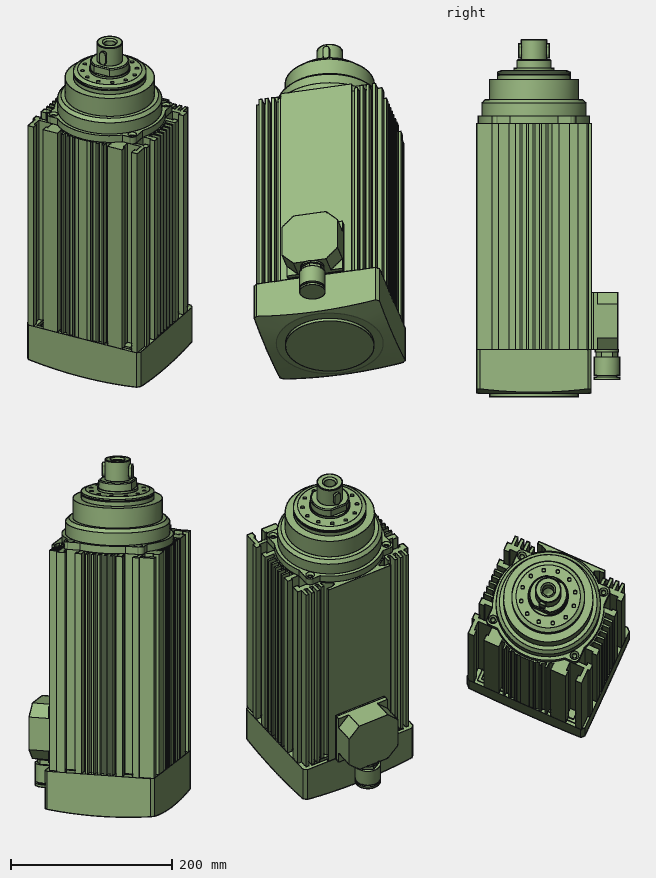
import cadquery as cq


COVER_TOP = 58.5
HOUSING_TOP = 339.3
FLANGE_TOP = 348.5
NOSE_BASE_TOP = 368.5
NOSE_DRUM_TOP = 394.0
NOSE_TOP = 399.0
DISC_RIM_BOTTOM = 400.5
DISC_TOP = 405.0
COLLAR_TOP = 407.5
NUT_TOP = 418.0
SHAFT_TOP = 443.5

HALF_X = 80.05
HALF_Y = 71.0

COVER_CORNER_CHAMFER = 4.0
DOME_RADIUS = 554.5
BOSS_RADIUS = 55.0
BOSS_HEIGHT = 4.0
GROOVE_OUTER_HALF = 66.5
GROOVE_INNER_HALF = 62.5
GROOVE_DEPTH = 4.0

CORE_RADIUS = HALF_Y
FLANK_TOP_Y = 54.5
FLANK_BOTTOM_Y = -52.0
SKIRT_HALF_X = 77.0

FIN_WIDTH = 2.5
FIN_GAP = 5.5
FIN_PITCH = FIN_WIDTH + FIN_GAP
SIDE_GAP_COUNT = 6
FRONT_GAPS_PER_SIDE = 4
FIRST_FRONT_GAP_X = 8.65

TOP_FIN_WIDTH = 4.0
TOP_FIN_PITCH = 8.0
TOP_FIN_OUTER_X = 74.5
TOP_FIN_TIPS = [65.5, 65.5, 65.5, 62.0]

SIDE_SLOT_MOUTH = (30.82, 44.0)
SIDE_SLOT_WIDE = (28.6, 47.5)
SIDE_SLOT_LIP = 6.5
SIDE_SLOT_FLOOR_X = 62.5
FRONT_SLOT_MOUTH = (55.65, 69.0)
FRONT_SLOT_WIDE = (53.0, 72.0)
FRONT_SLOT_LIP = 8.0
FRONT_SLOT_FLOOR_Y = 52.0

RAIL_HALF_WIDTH = 45.2
RAIL_TOP_Y = 71.5
RAIL_UNDERSIDE_Y = 68.0
RAIL_NECK_TOP_HALF = 39.0
RAIL_NECK_HALF = 33.3
RAIL_NECK_TOP_Y = 65.0
RAIL_NECK_BOTTOM_Y = 62.0

FLANGE_RADIUS = 69.0
EAR_HALF_X = 62.5
EAR_HALF_Y = FRONT_SLOT_FLOOR_Y
EAR_CORNER_RADIUS = 6.0
EAR_HOLE_X = 55.5
EAR_HOLE_Y = 44.0
EAR_HOLE_RADIUS = 2.9
EAR_HOLE_DEPTH = 4.5
EAR_SINK_RADIUS = 5.5
NOSE_BASE_RADIUS = 64.8
NOSE_BASE_CHAMFER = 4.2
NOSE_DRUM_RADIUS = 55.5
NOSE_SHOULDER_RADIUS = 45.2

DISC_RADIUS = NOSE_SHOULDER_RADIUS
DISC_NECK_RADIUS = 43.0
DISC_CHAMFER_RADIAL = 5.5
DISC_CHAMFER_HEIGHT = 2.0
DISC_HOLE_COUNT = 12
DISC_HOLE_RADIUS = 2.0
DISC_HOLE_CIRCLE = 33.93
DISC_HOLE_DEPTH = 3.0
DISC_HOLE_START = 3.8

COLLAR_RADIUS = 25.05
NUT_RADIUS = 24.0
NUT_HALF_FLATS = 21.5
NUT_CHAMFER = 1.5
SHAFT_RADIUS = 16.0
SHAFT_CHAMFER = 1.0
BORE_RADIUS = 7.0
BORE_SINK_RADIUS = 9.5
BORE_DEPTH = 22.0

KEY_WIDTH = 8.0
KEY_BOTTOM = 420.0
KEY_LENGTH = 18.0
KEY_SEAT_Y = 11.5
KEY_OUTER_Y = 19.0

BOX_HALF_X = 35.5
BOX_BOTTOM = COVER_TOP
BOX_TOP = 129.5
BOX_INNER_Y = 73.5
BOX_STEP_Y = 79.0
BOX_OUTER_Y = 104.2
BOX_CORNER_CHAMFER = 14.5
GLAND_Y = 90.5
GLAND_RADIUS = 16.0
GLAND_WASHER_RADIUS = 14.5
GLAND_HEX_DIAMETER = 27.5
GLAND_GROOVE_RADIUS = 12.5
GLAND_WASHER_BOTTOM = 56.0
GLAND_HEX_BOTTOM = 49.5
GLAND_GROOVE_TOP = 26.5
GLAND_GROOVE_BOTTOM = 24.5
GLAND_BOTTOM = 21.5


def block(x0, x1, y0, y1, z0, z1):
    """Axis-aligned box between two opposite corners."""
    return cq.Workplane("XY").box(x1 - x0, y1 - y0, z1 - z0, centered=False).translate((x0, y0, z0))


def disc_between(radius, z0, z1):
    """Cylinder on the Z axis."""
    return cq.Workplane("XY").workplane(offset=z0).circle(radius).extrude(z1 - z0)


def revolved(profile):
    """Solid turned about the Z axis from a list of (radius, z) points."""
    return cq.Workplane("XZ").polyline(profile).close().revolve(360, (0, 0, 0), (0, 1, 0))


def countersunk_drill(radius, sink_radius, depth, z_top):
    """Cutter on the Z axis for a 45 degree countersunk blind hole with a 45 degree drill tip."""
    sink_depth = sink_radius - radius
    return revolved([
        (0, z_top),
        (sink_radius, z_top),
        (radius, z_top - sink_depth),
        (radius, z_top - depth),
        (0, z_top - depth - radius),
    ])


def make_rear_cover():
    shell = block(-HALF_X, HALF_X, -HALF_Y, HALF_Y, BOSS_HEIGHT, COVER_TOP)
    shell = shell.edges("|Z").chamfer(COVER_CORNER_CHAMFER)
    dome = cq.Workplane("XY").sphere(DOME_RADIUS).translate((0, 0, DOME_RADIUS))
    boss = disc_between(BOSS_RADIUS, 0, BOSS_HEIGHT)
    groove_floor = cq.Workplane("XY").workplane(offset=COVER_TOP - GROOVE_DEPTH)
    groove = (
        groove_floor.rect(2 * GROOVE_OUTER_HALF, 2 * GROOVE_OUTER_HALF)
        .rect(2 * GROOVE_INNER_HALF, 2 * GROOVE_INNER_HALF)
        .extrude(GROOVE_DEPTH)
    )
    return shell.intersect(dome).union(boss).cut(groove)


def housing_block(x0, x1, y0, y1):
    """Box that runs the full height of the housing."""
    return block(x0, x1, y0, y1, COVER_TOP, HOUSING_TOP)


def both_sides(solid):
    """The solid together with its mirror image across the YZ plane."""
    return solid.union(solid.mirror("YZ"))


def side_slot():
    """T-slot in the -X flank, above the XZ plane."""
    lip_x = SIDE_SLOT_LIP - HALF_X
    mouth = housing_block(-HALF_X, lip_x, *SIDE_SLOT_MOUTH)
    wide = housing_block(lip_x, -SIDE_SLOT_FLOOR_X, *SIDE_SLOT_WIDE)
    return mouth.union(wide)


def front_slot():
    """T-slot in the -Y face, on the +X side."""
    lip_y = FRONT_SLOT_LIP - HALF_Y
    mouth = housing_block(*FRONT_SLOT_MOUTH, -HALF_Y, lip_y)
    wide = housing_block(*FRONT_SLOT_WIDE, lip_y, -FRONT_SLOT_FLOOR_Y)
    return mouth.union(wide)


def mounting_rail():
    """Overhanging rail on the +Y face that carries the terminal box."""
    half = [
        (RAIL_NECK_HALF, RAIL_NECK_BOTTOM_Y),
        (RAIL_NECK_HALF, RAIL_NECK_TOP_Y),
        (RAIL_NECK_TOP_HALF, RAIL_UNDERSIDE_Y),
        (RAIL_HALF_WIDTH, RAIL_UNDERSIDE_Y),
        (RAIL_HALF_WIDTH, RAIL_TOP_Y),
    ]
    outline = half + [(-x, y) for x, y in reversed(half)]
    plane = cq.Workplane("XY").workplane(offset=COVER_TOP)
    return plane.polyline(outline).close().extrude(HOUSING_TOP - COVER_TOP)


def make_housing():
    body = housing_block(-HALF_X, HALF_X, FLANK_BOTTOM_Y, FLANK_TOP_Y)
    body = body.union(housing_block(-SKIRT_HALF_X, SKIRT_HALF_X, -HALF_Y, FLANK_BOTTOM_Y))

    for i in range(SIDE_GAP_COUNT):
        gap_y = (i - (SIDE_GAP_COUNT - 1) / 2) * FIN_PITCH
        gap = housing_block(-HALF_X, -SIDE_SLOT_FLOOR_X, gap_y - FIN_GAP / 2, gap_y + FIN_GAP / 2)
        body = body.cut(both_sides(gap))
    for i in range(FRONT_GAPS_PER_SIDE):
        gap_x = FIRST_FRONT_GAP_X + i * FIN_PITCH
        gap = housing_block(gap_x - FIN_GAP / 2, gap_x + FIN_GAP / 2, -HALF_Y, FLANK_BOTTOM_Y)
        body = body.cut(both_sides(gap))
    body = body.union(disc_between(CORE_RADIUS, COVER_TOP, HOUSING_TOP))

    for i, tip_y in enumerate(TOP_FIN_TIPS):
        fin_x = TOP_FIN_OUTER_X - i * TOP_FIN_PITCH
        body = body.union(both_sides(housing_block(fin_x - TOP_FIN_WIDTH, fin_x, FLANK_TOP_Y, tip_y)))

    upper_slots = both_sides(side_slot())
    body = body.cut(upper_slots).cut(upper_slots.mirror("XZ"))
    body = body.cut(both_sides(front_slot()))
    return body.union(mounting_rail())


def make_flange():
    ears = block(-EAR_HALF_X, EAR_HALF_X, -EAR_HALF_Y, EAR_HALF_Y, HOUSING_TOP, FLANGE_TOP)
    ears = ears.edges("|Z").fillet(EAR_CORNER_RADIUS)
    flange = ears.union(disc_between(FLANGE_RADIUS, HOUSING_TOP, FLANGE_TOP))
    nose = revolved([
        (0, HOUSING_TOP),
        (NOSE_BASE_RADIUS, HOUSING_TOP),
        (NOSE_BASE_RADIUS, NOSE_BASE_TOP - NOSE_BASE_CHAMFER),
        (NOSE_BASE_RADIUS - NOSE_BASE_CHAMFER, NOSE_BASE_TOP),
        (NOSE_DRUM_RADIUS, NOSE_BASE_TOP),
        (NOSE_DRUM_RADIUS, NOSE_DRUM_TOP),
        (NOSE_SHOULDER_RADIUS, NOSE_DRUM_TOP),
        (NOSE_SHOULDER_RADIUS, NOSE_TOP),
        (0, NOSE_TOP),
    ])
    drill = countersunk_drill(EAR_HOLE_RADIUS, EAR_SINK_RADIUS, EAR_HOLE_DEPTH, FLANGE_TOP)
    for x in (-EAR_HOLE_X, EAR_HOLE_X):
        for y in (-EAR_HOLE_Y, EAR_HOLE_Y):
            flange = flange.cut(drill.translate((x, y, 0)))
    return flange.union(nose)


def make_seal_disc():
    disc = revolved([
        (COLLAR_RADIUS, NOSE_TOP),
        (DISC_NECK_RADIUS, NOSE_TOP),
        (DISC_NECK_RADIUS, DISC_RIM_BOTTOM),
        (DISC_RADIUS, DISC_RIM_BOTTOM),
        (DISC_RADIUS, DISC_TOP - DISC_CHAMFER_HEIGHT),
        (DISC_RADIUS - DISC_CHAMFER_RADIAL, DISC_TOP),
        (COLLAR_RADIUS, DISC_TOP),
    ])
    holes = (
        cq.Workplane("XY").workplane(offset=DISC_TOP - DISC_HOLE_DEPTH)
        .polarArray(DISC_HOLE_CIRCLE, DISC_HOLE_START, 360, DISC_HOLE_COUNT)
        .circle(DISC_HOLE_RADIUS)
        .extrude(DISC_HOLE_DEPTH)
    )
    return disc.cut(holes)


def make_key(side):
    """Key on the +Y side (side = 1) or the -Y side (side = -1) of the shaft."""
    key_middle = KEY_BOTTOM + KEY_LENGTH / 2
    key = (
        cq.Workplane("XZ", origin=(0, KEY_OUTER_Y, key_middle))
        .slot2D(KEY_LENGTH, KEY_WIDTH, 90)
        .extrude(KEY_OUTER_Y - KEY_SEAT_Y)
    )
    return key if side > 0 else key.mirror("XZ")


def make_spindle(keys):
    nut = disc_between(NUT_RADIUS, COLLAR_TOP, NUT_TOP).intersect(
        block(-NUT_RADIUS, NUT_RADIUS, -NUT_HALF_FLATS, NUT_HALF_FLATS, COLLAR_TOP, NUT_TOP)
    )
    nut = nut.faces(">Z").chamfer(NUT_CHAMFER)
    shaft = disc_between(SHAFT_RADIUS, NUT_TOP, SHAFT_TOP).faces(">Z").chamfer(SHAFT_CHAMFER)
    spindle = disc_between(COLLAR_RADIUS, NOSE_TOP, COLLAR_TOP).union(nut).union(shaft)
    spindle = spindle.cut(countersunk_drill(BORE_RADIUS, BORE_SINK_RADIUS, BORE_DEPTH, SHAFT_TOP))
    for key in keys:
        spindle = spindle.cut(key)
    return spindle


def make_gasket():
    return block(-BOX_HALF_X, BOX_HALF_X, RAIL_TOP_Y, BOX_INNER_Y, BOX_BOTTOM, BOX_TOP)


def make_terminal_box():
    base = block(-BOX_HALF_X, BOX_HALF_X, BOX_INNER_Y, BOX_STEP_Y, BOX_BOTTOM, BOX_TOP)
    lid = block(-BOX_HALF_X, BOX_HALF_X, BOX_STEP_Y, BOX_OUTER_Y, BOX_BOTTOM, BOX_TOP)
    lid = lid.edges("|Y").chamfer(BOX_CORNER_CHAMFER)
    return base.union(lid)


def make_gland():
    hexagon = (
        cq.Workplane("XY").workplane(offset=GLAND_HEX_BOTTOM)
        .polygon(6, GLAND_HEX_DIAMETER)
        .extrude(GLAND_WASHER_BOTTOM - GLAND_HEX_BOTTOM)
        .rotate((0, 0, 0), (0, 0, 1), 90)
    )
    gland = (
        disc_between(GLAND_WASHER_RADIUS, GLAND_WASHER_BOTTOM, BOX_BOTTOM)
        .union(hexagon)
        .union(disc_between(GLAND_RADIUS, GLAND_GROOVE_TOP, GLAND_HEX_BOTTOM))
        .union(disc_between(GLAND_GROOVE_RADIUS, GLAND_GROOVE_BOTTOM, GLAND_GROOVE_TOP))
        .union(disc_between(GLAND_RADIUS, GLAND_BOTTOM, GLAND_GROOVE_BOTTOM))
    )
    return gland.translate((0, GLAND_Y, 0))


rear_cover = make_rear_cover()
housing = make_housing()
flange = make_flange()
seal_disc = make_seal_disc()
keys = [make_key(side) for side in (-1, 1)]
spindle = make_spindle(keys)
gasket = make_gasket()
terminal_box = make_terminal_box()
gland = make_gland()

result = cq.Compound.makeCompound([
    rear_cover.val(),
    housing.val(),
    flange.val(),
    seal_disc.val(),
    spindle.val(),
    *[key.val() for key in keys],
    gasket.val(),
    terminal_box.val(),
    gland.val(),
])